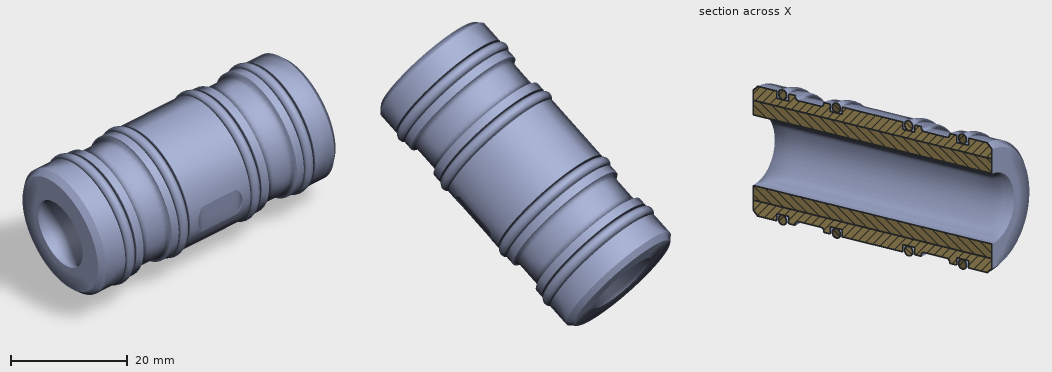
import cadquery as cq
import math

length = 50.8
half_length = length / 2
body_radius = 11.9
end_chamfer = 1.0

liner_radius = 9.05
bore_radius = 6.4

ring_outer_radius = 12.35
ring_section = 1.8
ring_path_radius = ring_outer_radius - ring_section / 2
groove_floor_radius = ring_outer_radius - ring_section
groove_width = 2.45
groove_end_distances = (6.3, 17.75)
groove_positions = [
    side * (half_length - distance)
    for side in (-1, 1)
    for distance in groove_end_distances
]

neck_radius = 11.05
neck_outer_edge = half_length - 9.0
neck_inner_edge = half_length - 15.0
neck_fillet = 0.5
neck_wall_slope = math.radians(15)

spot_face_radius = 4.7
spot_face_depth = 0.35


def tube(outer_radius, inner_radius, tube_length):
    """Tube along Y, centred on the origin."""
    return cq.Workplane("XZ").circle(outer_radius).circle(inner_radius).extrude(tube_length / 2, both=True)


def make_groove(position):
    return tube(ring_outer_radius, groove_floor_radius, groove_width).translate((0, position, 0))


def make_neck():
    """Ring of material removed for the neck on the +Y half."""
    depth = body_radius - neck_radius
    outer_corner = neck_outer_edge - depth * math.tan(neck_wall_slope)
    tangent_length = neck_fillet * math.tan((math.pi / 2 - neck_wall_slope) / 2)
    fillet_centre_y = outer_corner - tangent_length
    fillet_centre_radius = neck_radius + neck_fillet

    def on_outer_fillet(angle):
        """Point on the outer fillet, with the angle measured from its floor tangent."""
        return (
            fillet_centre_radius - neck_fillet * math.cos(angle),
            fillet_centre_y + neck_fillet * math.sin(angle),
        )

    outer_arc = math.pi / 2 - neck_wall_slope
    inner_centre_y = neck_inner_edge + neck_fillet
    inner_mid = (
        fillet_centre_radius - neck_fillet * math.cos(math.pi / 4),
        inner_centre_y - neck_fillet * math.sin(math.pi / 4),
    )
    return (
        cq.Workplane("XY")
        .moveTo(body_radius, neck_outer_edge)
        .lineTo(*on_outer_fillet(outer_arc))
        .threePointArc(on_outer_fillet(outer_arc / 2), on_outer_fillet(0))
        .lineTo(neck_radius, inner_centre_y)
        .threePointArc(inner_mid, (fillet_centre_radius, neck_inner_edge))
        .lineTo(body_radius, neck_inner_edge)
        .close()
        .revolve(360, (0, 0, 0), (0, 1, 0))
    )


def make_spot_face():
    return (
        cq.Workplane("YZ", origin=(body_radius - spot_face_depth, 0, 0))
        .circle(spot_face_radius)
        .extrude(2 * spot_face_depth)
    )


def make_sleeve():
    blank = cq.Workplane("XZ").circle(body_radius).extrude(half_length, both=True)
    sleeve = blank.faces("<Y or >Y").chamfer(end_chamfer)
    sleeve = sleeve.cut(cq.Workplane("XZ").circle(liner_radius).extrude(half_length, both=True))
    for position in groove_positions:
        sleeve = sleeve.cut(make_groove(position))
    neck = make_neck()
    sleeve = sleeve.cut(neck).cut(neck.mirror("XZ"))
    return sleeve.cut(make_spot_face())


def make_liner():
    return tube(liner_radius, bore_radius, length)


def make_o_ring(position):
    return (
        cq.Workplane("XY")
        .center(ring_path_radius, position)
        .circle(ring_section / 2)
        .revolve(360, (-ring_path_radius, 0, 0), (-ring_path_radius, 1, 0))
    )


sleeve = make_sleeve()
liner = make_liner()
o_rings = [make_o_ring(position) for position in groove_positions]

result = cq.Compound.makeCompound(
    [sleeve.val(), liner.val(), *[o_ring.val() for o_ring in o_rings]]
)